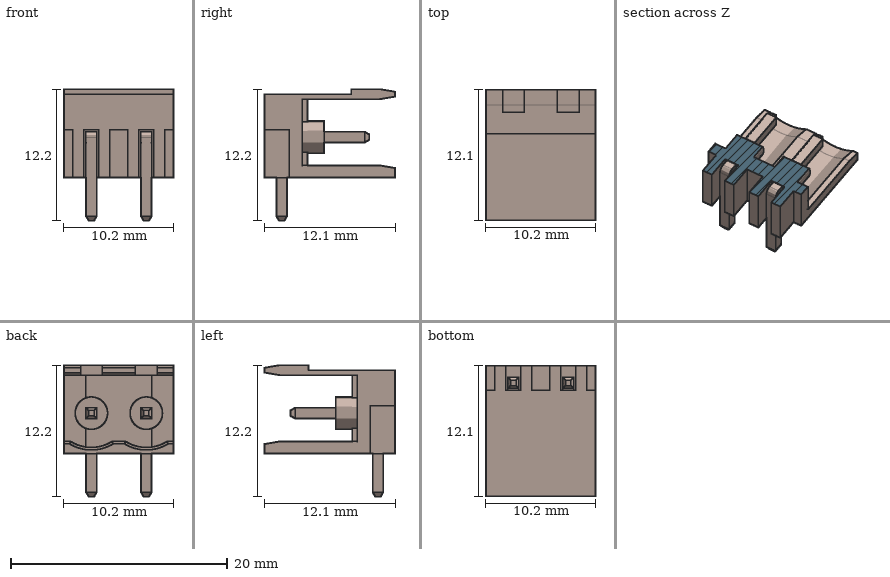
import cadquery as cq


POLE_COUNT = 2
WIDTH = 10.16
LENGTH = 12.1
TOTAL_HEIGHT = 12.2
PITCH = WIDTH / POLE_COUNT
POLE_XS = [(pole - (POLE_COUNT - 1) / 2) * PITCH for pole in range(POLE_COUNT)]

PIN_DROP = 3.99
LIP_TOP = TOTAL_HEIGHT - PIN_DROP
STEP_HEIGHT = 0.48
ROOF_TOP = LIP_TOP - STEP_HEIGHT
ROOF_THICKNESS = 0.48
ROOF_UNDERSIDE = ROOF_TOP - ROOF_THICKNESS
FLOOR_TOP = 1.15
WALL_FRONT = 3.5
LIP_START = 8.02
TAPER_LENGTH = 1.42
TAPER_DROP = 0.25
TAPER_START = LENGTH - TAPER_LENGTH

NOTCH_WIDTH = 2.0
NOTCH_DEPTH = 2.1

TROUGH_AXIS_Z = (FLOOR_TOP + ROOF_UNDERSIDE) / 2
TROUGH_BOTTOM = 0.59
TROUGH_RADIUS = TROUGH_AXIS_Z - TROUGH_BOTTOM

RECESS_DEPTH = 2.3
RECESS_HEIGHT = 4.45
RIB_WIDTH = 1.01
CHANNEL_WIDTH = 1.39
RIB_OFFSET = (CHANNEL_WIDTH + RIB_WIDTH) / 2

PIN_AXIS_Z = 3.76
BOSS_DIAMETER = 3.0
BOSS_FRONT = 5.51
PAD_FRONT = 3.99
PAD_OVERHANG = 0.5
PAD_WIDTH = WIDTH - PITCH + 2 * PAD_OVERHANG

PIN_SIZE = 1.0
PIN_REAR = 1.1
PIN_FRONT = 9.71
PIN_TIP_LENGTH = 0.44
PIN_TIP_SIZE = PIN_SIZE / 2
PIN_BEND_RADIUS = 0.52


def block(width, y_range, z_range, x=0.0):
    """Box centred on x that spans the given Y and Z ranges."""
    y_min, y_max = y_range
    z_min, z_max = z_range
    return (
        cq.Workplane("XY", origin=(x, 0, z_min))
        .rect(width, y_max - y_min)
        .extrude(z_max - z_min)
        .translate((0, (y_min + y_max) / 2, 0))
    )


def disc(x, y, z, radius, length):
    """Cylinder along +Y that starts at the given point."""
    return cq.Workplane(cq.Solid.makeCylinder(radius, length, cq.Vector(x, y, z), cq.Vector(0, 1, 0)))


def housing_profile():
    """C-shaped side profile with tapered floor and lip, extruded across the width."""
    points = [
        (0, 0),
        (LENGTH, 0),
        (LENGTH, FLOOR_TOP - TAPER_DROP),
        (TAPER_START, FLOOR_TOP),
        (WALL_FRONT, FLOOR_TOP),
        (WALL_FRONT, ROOF_UNDERSIDE),
        (TAPER_START, ROOF_UNDERSIDE),
        (LENGTH, ROOF_UNDERSIDE + TAPER_DROP),
        (LENGTH, LIP_TOP - TAPER_DROP),
        (TAPER_START, LIP_TOP),
        (LIP_START, LIP_TOP),
        (LIP_START, ROOF_TOP),
        (0, ROOF_TOP),
    ]
    return cq.Workplane("YZ").polyline(points).close().extrude(WIDTH / 2, both=True)


def lip_notch(x):
    return block(NOTCH_WIDTH, (LENGTH - NOTCH_DEPTH, LENGTH), (ROOF_UNDERSIDE, LIP_TOP), x)


def floor_trough(x):
    """Round trough with a conical lead-in, limited to the floor."""
    trough = disc(x, WALL_FRONT, TROUGH_AXIS_Z, TROUGH_RADIUS, LENGTH - WALL_FRONT)
    lead_in = cq.Solid.makeCone(
        TROUGH_RADIUS,
        TROUGH_RADIUS + TAPER_DROP,
        TAPER_LENGTH,
        cq.Vector(x, TAPER_START, TROUGH_AXIS_Z),
        cq.Vector(0, 1, 0),
    )
    floor_zone = block(PITCH, (WALL_FRONT, LENGTH), (0, FLOOR_TOP), x)
    return trough.union(lead_in).intersect(floor_zone)


def rear_recess():
    """Recess across the rear that leaves a rib on each side of every pin."""
    recess = block(WIDTH, (0, RECESS_DEPTH), (0, RECESS_HEIGHT))
    for x in POLE_XS:
        for side in (-1, 1):
            rib = block(RIB_WIDTH, (0, RECESS_DEPTH), (0, RECESS_HEIGHT), x + side * RIB_OFFSET)
            recess = recess.cut(rib)
    return recess


def pin_tip(plane):
    """Tapered square point on the end of a pin, along the normal of the plane."""
    return (
        cq.Workplane(plane)
        .rect(PIN_SIZE, PIN_SIZE)
        .workplane(offset=PIN_TIP_LENGTH)
        .rect(PIN_TIP_SIZE, PIN_TIP_SIZE)
        .loft(combine=True)
    )


def bent_pin(x):
    """Square pin with a horizontal contact leg, a vertical solder leg and pointed ends."""
    pin_top = PIN_AXIS_Z + PIN_SIZE / 2
    leg_axis_y = PIN_REAR + PIN_SIZE / 2
    contact_end = PIN_FRONT - PIN_TIP_LENGTH
    solder_end = PIN_TIP_LENGTH - PIN_DROP
    contact_leg = block(PIN_SIZE, (PIN_REAR, contact_end), (pin_top - PIN_SIZE, pin_top), x)
    solder_leg = block(PIN_SIZE, (PIN_REAR, PIN_REAR + PIN_SIZE), (solder_end, pin_top), x)
    bent = contact_leg.union(solder_leg).faces("<Y").edges(">Z").fillet(PIN_BEND_RADIUS)
    contact_plane = cq.Plane((x, contact_end, PIN_AXIS_Z), xDir=(1, 0, 0), normal=(0, 1, 0))
    solder_plane = cq.Plane((x, leg_axis_y, solder_end), xDir=(1, 0, 0), normal=(0, 0, -1))
    return bent.union(pin_tip(contact_plane)).union(pin_tip(solder_plane))


housing = housing_profile().cut(rear_recess())
for pole_x in POLE_XS:
    housing = housing.cut(lip_notch(pole_x)).cut(floor_trough(pole_x))

housing = housing.union(block(PAD_WIDTH, (WALL_FRONT, PAD_FRONT), (0, ROOF_UNDERSIDE)))

result = housing
for pole_x in POLE_XS:
    boss = disc(pole_x, WALL_FRONT, PIN_AXIS_Z, BOSS_DIAMETER / 2, BOSS_FRONT - WALL_FRONT)
    result = result.union(boss).union(bent_pin(pole_x))